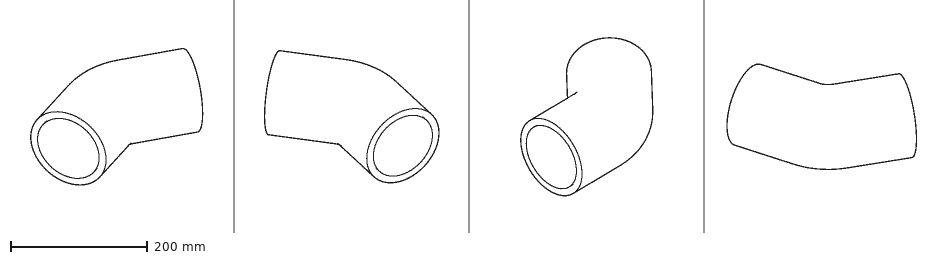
import cadquery as cq

outer_diameter = 125.0
bore_diameter = 102.2
leg_length = 99.5
bend_angle = 45
bend_radius = 63.8


def straight_leg(diameter):
    """Cylinder along -Y that ends where the bend starts, at Y = 0."""
    return cq.Workplane("XZ").circle(diameter / 2).extrude(leg_length)


def bend(diameter):
    """Part of a torus turning from +Y towards +X about a vertical axis."""
    return (
        cq.Workplane("XZ")
        .circle(diameter / 2)
        .revolve(bend_angle, (bend_radius, 0, 0), (bend_radius, -1, 0))
    )


def angled_leg(diameter):
    """Straight leg on the far end of the bend."""
    far_leg = straight_leg(diameter).mirror("XZ")
    return far_leg.rotate((bend_radius, 0, 0), (bend_radius, 0, 1), -bend_angle)


def elbow(diameter):
    """Solid elbow of one diameter, used for both the body and the bore."""
    return straight_leg(diameter).union(bend(diameter)).union(angled_leg(diameter))


result = elbow(outer_diameter).cut(elbow(bore_diameter))